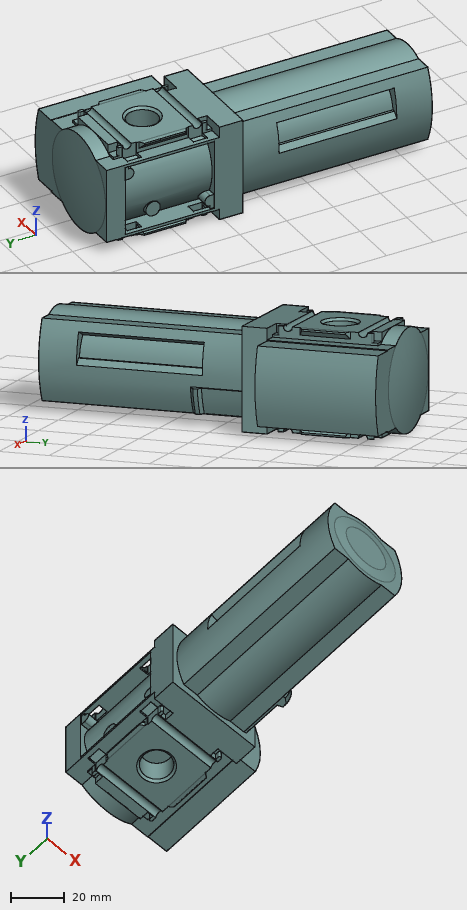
import cadquery as cq
import math


body_width = 41.8
body_height = 40.2
half_width = body_width / 2
half_height = body_height / 2
body_back = 27.1
body_front = -31.1
mid_half_length = 21.1
slab_half_height = 15.65
cap_radius = half_height
dome_height = 1.9

pad_half_width = 15.3
port_radius = 6.4
port_mouth_radius = 7.4
port_depth = 12.0
channel_inner = 13.2
channel_outer = 16.8
lip_reach = 1.8
lip_height = 2.8
lip_top_drop = 0.12
lip_tip_thickness = 0.7
lip_half_length = 10.1
lip_end_taper = 1.3
pocket_inner_x = 11.45
pocket_step_x = 14.0
pocket_inner_y = 17.1
pocket_step_y = 19.2
pocket_floor = 16.6

window_half_length = 19.05
window_half_height = 14.5
inner_radius = 18.9
pin_diameter = 6.1
pin_y = 5.9
pin_z = -8.5
pin_tip_x = -18.5
lug_face_x = -20.4
lug_y = 17.4
lug_z = 11.0
lug_radius = 2.25
hole_x = (-18.9, -14.9)
hole_y = (11.1, 17.1)

cover_edge_x = 30.5
cover_crown_x = 33.1
cover_half_height = 15.3

bowl_end = -113.2
bowl_tip = -113.8
bowl_rib_radius = 17.8
bowl_flat_z = 15.7
bowl_corner_x = 15.3
bowl_side_x = 18.8
end_cone_radius = 15.5
end_face_radius = 10.1
side_sagitta = bowl_side_x - bowl_corner_x
side_radius = (bowl_flat_z**2 + side_sagitta**2) / (2 * side_sagitta)
side_center_x = bowl_side_x - side_radius

slot_y = (-98.0, -47.8)
slot_outer_z = (-0.35, 11.9)
slot_inner_z = (2.0, 10.0)
slot_ledge_x = 16.95
slot_floor_radius = 16.0

latch_thickness = 0.9
latch_reach = 2.85
latch_end = -52.3
tooth_flat = (-50.6, -48.8)
tooth_back = -47.9
latch_z = (-15.3, -5.05)


def block(x_range, y_range, z_range):
    """Box between the given limits."""
    corner = (x_range[0], y_range[0], z_range[0])
    length = x_range[1] - x_range[0]
    width = y_range[1] - y_range[0]
    height = z_range[1] - z_range[0]
    return cq.Workplane("XY").box(length, width, height, centered=False).translate(corner)


def both(half):
    """Range that is symmetric about zero."""
    return (-half, half)


def prism_y(y_start):
    """Workplane with local X, Y along global X, Z; extrusion runs toward -Y."""
    return cq.Workplane("XZ", origin=(0, y_start, 0))


def mirrored(shape, plane):
    """The shape together with its mirror image about a main plane."""
    return shape.union(shape.mirror(plane))


def dome_midpoint():
    """Point halfway along the shallow arc of the end dome."""
    arc_radius = (cap_radius**2 + dome_height**2) / (2 * dome_height)
    half_angle = math.asin(cap_radius / arc_radius) / 2
    center_y = body_back + dome_height - arc_radius
    return (arc_radius * math.sin(half_angle), center_y + arc_radius * math.cos(half_angle))


def make_body():
    collar = block(both(half_width), (body_front, -mid_half_length), both(half_height))
    slab = block(both(half_width), (-mid_half_length, body_back), both(slab_half_height))
    pads = block(both(pad_half_width), both(mid_half_length), both(half_height))
    cap = prism_y(body_back).circle(cap_radius).extrude(body_back - mid_half_length)
    dome = (
        cq.Workplane("XY")
        .moveTo(0, body_back)
        .lineTo(cap_radius, body_back)
        .threePointArc(dome_midpoint(), (0, body_back + dome_height))
        .close()
        .revolve(360, (0, 0, 0), (0, 1, 0))
    )
    return collar.union(slab).union(pads).union(cap).union(dome)


def make_pad_lips():
    """Flared lips on both long edges of both pads."""
    outer_x = pad_half_width + lip_reach
    tip_top = half_height - lip_top_drop
    flare = (
        prism_y(lip_half_length)
        .moveTo(pad_half_width, half_height - lip_height)
        .lineTo(outer_x, tip_top - lip_tip_thickness)
        .lineTo(outer_x, tip_top)
        .lineTo(pad_half_width, half_height)
        .close()
        .extrude(2 * lip_half_length)
    )
    outline = (
        cq.Workplane("XY")
        .moveTo(pad_half_width, lip_half_length)
        .lineTo(outer_x, lip_half_length - lip_end_taper)
        .lineTo(outer_x, lip_end_taper - lip_half_length)
        .lineTo(pad_half_width, -lip_half_length)
        .close()
        .extrude(half_height)
    )
    return mirrored(mirrored(flare.intersect(outline), "YZ"), "XY")


def make_pad_channels():
    """Round-bottomed grooves across the pads."""
    groove = (
        cq.Workplane("YZ", origin=(-half_width, 0, 0))
        .center((channel_inner + channel_outer) / 2, half_height)
        .circle((channel_outer - channel_inner) / 2)
        .extrude(body_width)
    )
    return mirrored(mirrored(groove, "XZ"), "XY")


def make_corner_pockets():
    """Pockets at the pad corners, each hooking around a round-nosed post."""
    nose_radius = (pad_half_width - pocket_step_x) / 2
    nose_start_y = pocket_step_y - nose_radius
    nose_tip = (pocket_step_x + nose_radius, pocket_step_y)
    pocket = (
        cq.Workplane("XY", origin=(0, 0, pocket_floor))
        .moveTo(pocket_inner_x, mid_half_length)
        .lineTo(pocket_inner_x, pocket_inner_y)
        .lineTo(pocket_step_x, pocket_inner_y)
        .lineTo(pocket_step_x, nose_start_y)
        .threePointArc(nose_tip, (pad_half_width, nose_start_y))
        .lineTo(pad_half_width, mid_half_length)
        .close()
        .extrude(half_height - pocket_floor)
    )
    return mirrored(mirrored(mirrored(pocket, "YZ"), "XZ"), "XY")


def make_ports():
    """Blind ports with a countersunk mouth on both pads."""
    mouth_depth = port_mouth_radius - port_radius
    port = (
        cq.Workplane("XZ")
        .moveTo(0, half_height)
        .lineTo(port_mouth_radius, half_height)
        .lineTo(port_radius, half_height - mouth_depth)
        .lineTo(port_radius, half_height - port_depth)
        .lineTo(0, half_height - port_depth)
        .close()
        .revolve(360, (0, 0, 0), (0, 1, 0))
    )
    return mirrored(port, "XY")


def make_window():
    """Opening in the -X side that leaves the inner cylinder, pin and lugs standing."""
    opening = block((-half_width, 0), both(window_half_length), both(window_half_height))
    cylinder = prism_y(window_half_length).circle(inner_radius).extrude(2 * window_half_length)
    pin = (
        cq.Workplane("YZ", origin=(pin_tip_x, 0, 0))
        .center(pin_y, pin_z)
        .circle(pin_diameter / 2)
        .extrude(-pin_tip_x)
    )
    lug_plane = cq.Workplane("YZ", origin=(lug_face_x, 0, 0))
    lug_round = lug_plane.center(lug_y, lug_z).circle(lug_radius).extrude(-lug_face_x)
    lug_base = block(
        (lug_face_x, 0),
        (lug_y, window_half_length),
        (lug_z - lug_radius, window_half_height),
    )
    lug = lug_round.union(lug_base)
    opposite_lug = lug.rotate((0, 0, 0), (1, 0, 0), 180)
    return opening.cut(cylinder).cut(pin).cut(lug).cut(opposite_lug)


def make_slab_holes():
    """Rectangular holes from the slab faces into the window, notching the pad sides."""
    hole = block(hole_x, hole_y, (window_half_height, half_height))
    return mirrored(mirrored(hole, "XZ"), "XY")


def make_cover():
    return (
        prism_y(body_back)
        .moveTo(half_width, -cover_half_height)
        .lineTo(cover_edge_x, -cover_half_height)
        .threePointArc((cover_crown_x, 0), (cover_edge_x, cover_half_height))
        .lineTo(half_width, cover_half_height)
        .close()
        .extrude(body_back + mid_half_length)
    )


def make_bowl():
    length = body_front - bowl_end
    shell = (
        prism_y(body_front)
        .moveTo(-bowl_corner_x, -bowl_flat_z)
        .lineTo(bowl_corner_x, -bowl_flat_z)
        .threePointArc((bowl_side_x, 0), (bowl_corner_x, bowl_flat_z))
        .lineTo(-bowl_corner_x, bowl_flat_z)
        .threePointArc((-bowl_side_x, 0), (-bowl_corner_x, -bowl_flat_z))
        .close()
        .extrude(length)
    )
    ribs = prism_y(body_front).circle(bowl_rib_radius).extrude(length)
    end_cone = (
        cq.Workplane("XY")
        .moveTo(0, bowl_end)
        .lineTo(end_cone_radius, bowl_end)
        .lineTo(end_face_radius, bowl_tip)
        .lineTo(0, bowl_tip)
        .close()
        .revolve(360, (0, 0, 0), (0, 1, 0))
    )
    return shell.union(ribs).union(end_cone).cut(make_sight_slots())


def make_sight_slots():
    """Slots with sloped long walls and a round floor in both bowl sides."""
    length = slot_y[1] - slot_y[0]
    lower_z, upper_z = slot_inner_z
    outer_bottom, outer_top = slot_outer_z
    upper_floor_x = math.sqrt(slot_floor_radius**2 - upper_z**2)
    upper_rim_x = side_center_x + math.sqrt(side_radius**2 - outer_top**2)
    slot = (
        prism_y(slot_y[1])
        .moveTo(upper_floor_x, lower_z)
        .lineTo(slot_ledge_x, lower_z)
        .lineTo(bowl_side_x, outer_bottom)
        .lineTo(bowl_side_x, outer_top)
        .lineTo(upper_rim_x, outer_top)
        .lineTo(upper_floor_x, upper_z)
        .close()
        .extrude(length)
    )
    floor_core = prism_y(slot_y[1]).circle(slot_floor_radius).extrude(length)
    slot = slot.cut(floor_core)
    return mirrored(slot, "YZ")


def make_latch():
    """Thin tongue with a tooth, following the curved +X side of the bowl."""
    sheet_x = bowl_side_x + latch_thickness
    tooth_x = bowl_side_x + latch_reach
    ring = (
        cq.Workplane("XY")
        .moveTo(bowl_corner_x, body_front)
        .lineTo(sheet_x, body_front)
        .lineTo(sheet_x, tooth_back)
        .lineTo(tooth_x, tooth_flat[1])
        .lineTo(tooth_x, tooth_flat[0])
        .lineTo(sheet_x, latch_end)
        .lineTo(bowl_corner_x, latch_end)
        .close()
        .revolve(360, (side_center_x, 0, 0), (side_center_x, 1, 0))
    )
    return ring.intersect(block((0, cover_crown_x), (latch_end, body_front), latch_z))


body = make_body().union(make_pad_lips())
for pocketed in (
    make_pad_channels(),
    make_corner_pockets(),
    make_ports(),
    make_window(),
    make_slab_holes(),
):
    body = body.cut(pocketed)

result = body.union(make_cover()).union(make_bowl()).union(make_latch())